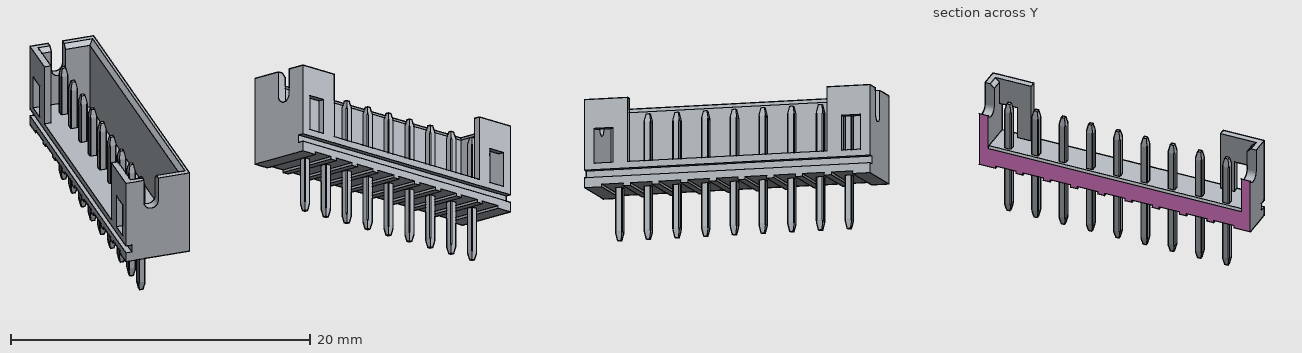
import cadquery as cq


length = 19.9
depth = 4.5
height = 5.99
side_wall = 0.68
back_wall = 0.5
front_wall = 0.45
rim_chamfer = 0.3

floor_z = 1.63
ramp_top_y = 2.15
ramp_run = 0.42
ramp_drop = 0.64

front_post_width = 3.0
window_width = 1.31
window_height = 2.37

end_slot_width = 1.0
end_slot_depth = 2.2
end_slot_y = 1.8

groove_bottom_z = 0.68
groove_height = 0.52
groove_depth = 0.42

relief_width = 1.5
relief_height = 0.18

pin_count = 9
end_margin = 1.95
pin_pitch = (length - 2 * end_margin) / (pin_count - 1)
pin_xs = [(i - (pin_count - 1) / 2) * pin_pitch for i in range(pin_count)]
pin_y = 1.71
pin_width = 0.5
pin_tip_width = 0.24
pin_edge_chamfer = 0.05
pin_taper = 0.62
pin_top_recess = 0.9
pin_top_z = height - pin_top_recess
tail_length = 3.4

half_length = length / 2
cavity_length = length - 2 * side_wall
cavity_back_y = depth - back_wall


def block(x_min, x_max, y_min, y_max, z_min, z_max):
    """Axis-aligned box between the given limits."""
    return (
        cq.Workplane("XY")
        .box(x_max - x_min, y_max - y_min, z_max - z_min, centered=False)
        .translate((x_min, y_min, z_min))
    )


def extrude_along_x(profile, extent):
    """Extrude a closed YZ profile by the extent, centred on X = 0."""
    return profile.extrude(extent / 2, both=True)


def cavity():
    """Open-topped cavity with the ramped floor."""
    profile = (
        cq.Workplane("YZ")
        .moveTo(front_wall, height)
        .lineTo(front_wall, floor_z)
        .lineTo(ramp_top_y, floor_z)
        .lineTo(ramp_top_y + ramp_run, floor_z - ramp_drop)
        .lineTo(cavity_back_y, floor_z - ramp_drop)
        .lineTo(cavity_back_y, height)
        .close()
    )
    return extrude_along_x(profile, cavity_length)


def rim_bevel():
    """45-degree lead-in along the end walls and the back wall; the front wall stays square."""
    def outline(z, margin):
        x_size = cavity_length + 2 * margin
        y_size = cavity_back_y + margin - front_wall
        centre = (0, front_wall + y_size / 2, z)
        return cq.Workplane("XY", origin=centre).rect(x_size, y_size).val()

    lower = outline(height - rim_chamfer, 0)
    upper = outline(height, rim_chamfer)
    return cq.Workplane("XY").newObject([cq.Solid.makeLoft([lower, upper], ruled=True)])


def front_opening():
    """Wide gap in the front wall between the two corner posts."""
    half_gap = half_length - front_post_width
    return block(-half_gap, half_gap, 0, front_wall, floor_z, height)


def window(side):
    """Window through one front corner post, flush with the end wall (side: -1 left, +1 right)."""
    centre_x = side * (cavity_length - window_width) / 2
    half_width = window_width / 2
    return block(
        centre_x - half_width, centre_x + half_width, 0, front_wall, floor_z, floor_z + window_height
    )


def end_slots():
    """Slot through both end walls, open at the rim."""
    radius = end_slot_width / 2
    bottom_z = height - end_slot_depth
    profile = (
        cq.Workplane("YZ")
        .moveTo(end_slot_y - radius, height)
        .lineTo(end_slot_y - radius, bottom_z + radius)
        .threePointArc((end_slot_y, bottom_z), (end_slot_y + radius, bottom_z + radius))
        .lineTo(end_slot_y + radius, height)
        .close()
    )
    return extrude_along_x(profile, length)


def front_groove():
    """Square groove along the whole front face."""
    return block(
        -half_length, half_length, 0, groove_depth, groove_bottom_z, groove_bottom_z + groove_height
    )


def relief(x):
    """Shallow channel under the housing around one pin, leaving standoffs between pins."""
    return block(x - relief_width / 2, x + relief_width / 2, 0, depth, 0, relief_height)


def pin(x):
    """Square pin with chamfered long edges and a pyramid taper at each end."""
    def square(z, width):
        return cq.Workplane("XY", origin=(x, pin_y, z)).rect(width, width)

    top_shoulder_z = pin_top_z - pin_taper
    tail_shoulder_z = -tail_length + pin_taper
    tapered = square(tail_shoulder_z, pin_width).extrude(top_shoulder_z - tail_shoulder_z)
    for shoulder_z, offset in ((top_shoulder_z, pin_taper), (tail_shoulder_z, -pin_taper)):
        tip = square(shoulder_z, pin_width).workplane(offset=offset)
        tapered = tapered.union(tip.rect(pin_tip_width, pin_tip_width).loft(ruled=True))
    chamfered = square(-tail_length, pin_width).extrude(pin_top_z + tail_length)
    return tapered.intersect(chamfered.edges("|Z").chamfer(pin_edge_chamfer))


housing = block(-half_length, half_length, 0, depth, 0, height)
housing = housing.cut(cavity()).cut(rim_bevel()).cut(front_opening())
housing = housing.cut(end_slots()).cut(front_groove())
for side in (-1, 1):
    housing = housing.cut(window(side))
for x in pin_xs:
    housing = housing.cut(relief(x))

result = housing
for x in pin_xs:
    result = result.union(pin(x))